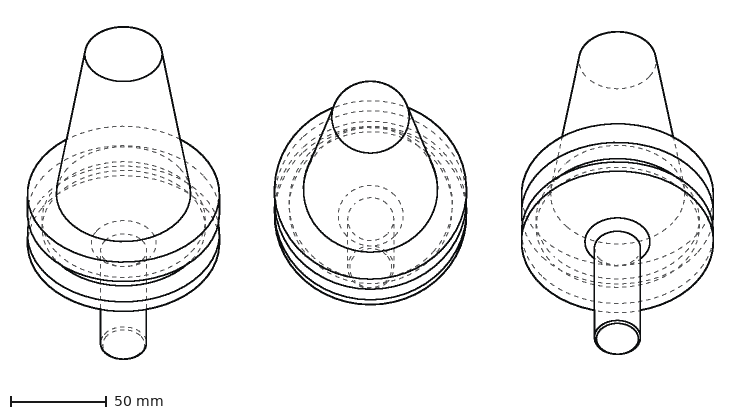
import cadquery as cq

total_height = 214.3
taper_height = 103.3
flange_height = 36.5

taper_top_diameter = 40.3
taper_base_diameter = 69.9
collar_height = 2.0

flange_diameter = 100.0
groove_diameter = 85.0
upper_rim_height = 14.4
lower_rim_height = 7.0
groove_flank_height = 4.3

nose_top_diameter = 33.9
stem_diameter = 24.0
nose_height = 5.0
stem_chamfer = 1.0

taper_top_radius = taper_top_diameter / 2
taper_base_radius = taper_base_diameter / 2
flange_radius = flange_diameter / 2
groove_radius = groove_diameter / 2
nose_top_radius = nose_top_diameter / 2
stem_radius = stem_diameter / 2

flange_bottom = -flange_height
groove_top = -upper_rim_height
groove_bottom = flange_bottom + lower_rim_height
nose_bottom = flange_bottom - nose_height
stem_bottom = taper_height - total_height

half_section = [
    (0, taper_height),
    (taper_top_radius, taper_height),
    (taper_base_radius, collar_height),
    (taper_base_radius, 0),
    (flange_radius, 0),
    (flange_radius, groove_top),
    (groove_radius, groove_top - groove_flank_height),
    (groove_radius, groove_bottom + groove_flank_height),
    (flange_radius, groove_bottom),
    (flange_radius, flange_bottom),
    (nose_top_radius, flange_bottom),
    (stem_radius, nose_bottom),
    (stem_radius, stem_bottom + stem_chamfer),
    (stem_radius - stem_chamfer, stem_bottom),
    (0, stem_bottom),
]

result = cq.Workplane("XZ").polyline(half_section).close().revolve(360, (0, 0), (0, 1))